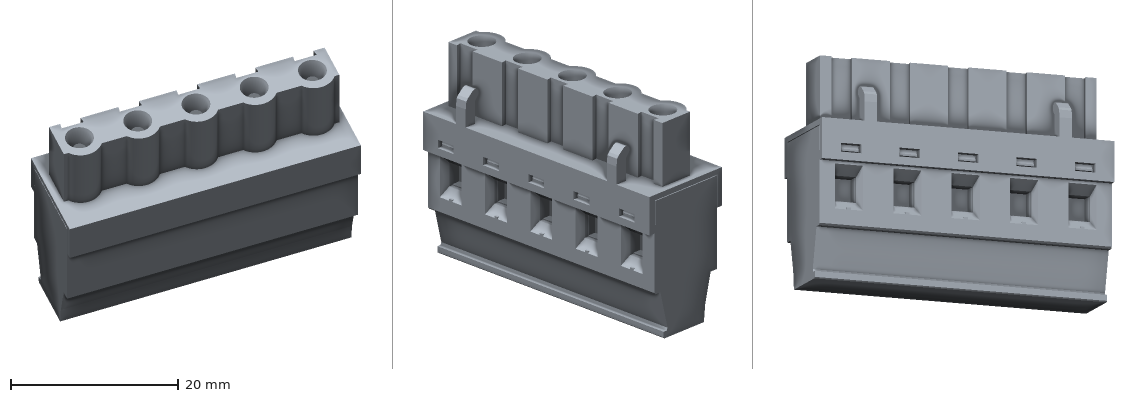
import cadquery as cq

WIDTH = 12.55
LENGTH = 37.5
HEIGHT = 27.55

CONTACT_COUNT = 5
CONTACT_PITCH = LENGTH / CONTACT_COUNT
CONTACT_X = 6.25
CONTACT_YS = [(i - (CONTACT_COUNT - 1) / 2) * CONTACT_PITCH for i in range(CONTACT_COUNT)]

COVER_TOP = 19.25
COVER_BOTTOM = 14.2
COVER_WALL = 0.85

BODY_FRONT = COVER_WALL
BODY_BACK = WIDTH - COVER_WALL
SHOULDER_Z = 6.22
SHOULDER_CHAMFER = 0.22
NECK_FRONT_TOP = 1.9
NECK_BACK_TOP = 10.6
NECK_FRONT_BOTTOM = (3.15, 1.25)
NECK_BACK_KINK = (9.68, 2.25)
FOOT_BACK = 9.45
FOOT_FRONT = 2.48
FOOT_HEIGHT = 0.9
FOOT_CHAMFER = 0.15
FOOT_SLOPE_X = 3.0

GROOVE_WIDTH = 0.1
GROOVE_DEPTH = 0.15
GROOVE_TOP = 18.52
GROOVE_BOTTOM = 15.38
GROOVE_X = 0.95
BACK_GROOVE_WIDTH = 0.08

PLUG_FRONT = 3.3
PLUG_BACK = 8.1
PLUG_LENGTH = 35.48
BUMP_TIP_X = 9.2
BUMP_WIDTH = 4.28
KEYWAY_DEPTH = 0.75
KEYWAY_MOUTH = 2.62
KEYWAY_FLOOR = 2.85

HOLE_MOUTH_DIAMETER = 3.45
HOLE_FLOOR_DIAMETER = 1.58
HOLE_DEPTH = 1.88

LATCH_Y = LENGTH / 3
LATCH_WIDTH = 1.6
LATCH_THICKNESS = 1.65
LATCH_STEM_TOP = 21.6
LATCH_LOWER_BEND = (0.1, 22.58)
LATCH_UPPER_BEND = (0.38, 22.9)
LATCH_NOSE_START = (1.2, 23.62)
LATCH_NOSE_CREST = (2.0, 23.62)
LATCH_NOSE_END = (2.15, 22.8)
LATCH_INNER_BEND_Z = 22.25

WINDOW_WIDTH = 2.62
WINDOW_BOTTOM = 15.2
WINDOW_TOP = 16.28
CATCH_WIDTH = 2.18
CATCH_BOTTOM = 15.4
CATCH_EDGE_Z = 15.68
CATCH_EDGE_X = 0.45

ENTRY_MOUTH_WIDTH = 3.6
ENTRY_MOUTH_BOTTOM = 8.35
ENTRY_MOUTH_TOP = 13.88
ENTRY_THROAT_WIDTH = 2.78
ENTRY_THROAT_BOTTOM = 9.52
ENTRY_THROAT_TOP = 12.68
ENTRY_FUNNEL_DEPTH = 1.2
ENTRY_DEPTH = 2.9
ENTRY_STEP_DEPTH = 1.72
ENTRY_STEP_HEIGHT = 0.15
ENTRY_SIDE_STEP = 0.05
NUB_WIDTH = 0.52
NUB_HEIGHT = 0.25


def block(x0, x1, length, z0, z1, y=0.0):
    """Box from x0 to x1 and z0 to z1, centred on y."""
    return cq.Workplane("XY").box(x1 - x0, length, z1 - z0, centered=(False, True, False)).translate((x0, y, z0))


def prism(sketch, length, y=0.0):
    """Extrude an XZ outline along Y, centred on y."""
    return sketch.close().extrude(length / 2, both=True).translate((0, y, 0))


def make_housing():
    outline = (
        cq.Workplane("XZ")
        .moveTo(FOOT_FRONT + FOOT_CHAMFER, 0)
        .lineTo(FOOT_BACK, 0)
        .lineTo(*NECK_BACK_KINK)
        .lineTo(NECK_BACK_TOP, SHOULDER_Z)
        .lineTo(BODY_BACK, SHOULDER_Z)
        .lineTo(BODY_BACK, COVER_BOTTOM)
        .lineTo(WIDTH, COVER_BOTTOM)
        .lineTo(WIDTH, COVER_TOP)
        .lineTo(0, COVER_TOP)
        .lineTo(0, COVER_BOTTOM)
        .lineTo(BODY_FRONT, COVER_BOTTOM)
        .lineTo(BODY_FRONT, SHOULDER_Z + SHOULDER_CHAMFER)
        .lineTo(BODY_FRONT + SHOULDER_CHAMFER, SHOULDER_Z)
        .lineTo(NECK_FRONT_TOP, SHOULDER_Z)
        .lineTo(*NECK_FRONT_BOTTOM)
        .lineTo(FOOT_SLOPE_X, FOOT_HEIGHT)
        .lineTo(FOOT_FRONT, FOOT_HEIGHT)
        .lineTo(FOOT_FRONT, FOOT_CHAMFER)
    )
    return prism(outline, LENGTH)


def make_parting_grooves():
    grooves = cq.Workplane("XY")
    back_x = BODY_BACK + BACK_GROOVE_WIDTH
    for end in (-1, 1):
        y = end * (LENGTH - GROOVE_DEPTH) / 2
        across = block(GROOVE_X, back_x, GROOVE_DEPTH, GROOVE_TOP - GROOVE_WIDTH, GROOVE_TOP, y)
        front = block(GROOVE_X, GROOVE_X + GROOVE_WIDTH, GROOVE_DEPTH, GROOVE_BOTTOM, GROOVE_TOP, y)
        back = block(BODY_BACK, back_x, GROOVE_DEPTH, COVER_BOTTOM, GROOVE_TOP, y)
        grooves = grooves.add(across).add(front).add(back)
    return grooves.combine()


def make_plug():
    plug = block(PLUG_FRONT, PLUG_BACK, PLUG_LENGTH, COVER_TOP, HEIGHT)
    base = cq.Workplane("XY").workplane(offset=COVER_TOP)
    for y in CONTACT_YS:
        bump = (
            base.moveTo(PLUG_BACK, y - BUMP_WIDTH / 2)
            .threePointArc((BUMP_TIP_X, y), (PLUG_BACK, y + BUMP_WIDTH / 2))
            .close()
            .extrude(HEIGHT - COVER_TOP)
        )
        keyway = (
            base.moveTo(PLUG_FRONT, y - KEYWAY_MOUTH / 2)
            .lineTo(PLUG_FRONT + KEYWAY_DEPTH, y - KEYWAY_FLOOR / 2)
            .lineTo(PLUG_FRONT + KEYWAY_DEPTH, y + KEYWAY_FLOOR / 2)
            .lineTo(PLUG_FRONT, y + KEYWAY_MOUTH / 2)
            .close()
            .extrude(HEIGHT - COVER_TOP)
        )
        plug = plug.union(bump).cut(keyway)
    return plug


def make_contact_hole(y):
    return (
        cq.Workplane("XY", origin=(CONTACT_X, y, HEIGHT))
        .circle(HOLE_MOUTH_DIAMETER / 2)
        .workplane(offset=-HOLE_DEPTH)
        .circle(HOLE_FLOOR_DIAMETER / 2)
        .loft(ruled=True)
    )


def make_latch(y):
    outline = (
        cq.Workplane("XZ")
        .moveTo(0, COVER_TOP)
        .lineTo(0, LATCH_STEM_TOP)
        .lineTo(*LATCH_LOWER_BEND)
        .lineTo(*LATCH_UPPER_BEND)
        .lineTo(*LATCH_NOSE_START)
        .threePointArc(LATCH_NOSE_CREST, LATCH_NOSE_END)
        .lineTo(LATCH_THICKNESS, LATCH_INNER_BEND_Z)
        .lineTo(LATCH_THICKNESS, COVER_TOP)
    )
    return prism(outline, LATCH_WIDTH, y)


def make_window(y):
    """Opening in the cover wall, around a sloped catch on the housing."""
    opening = block(0, COVER_WALL, WINDOW_WIDTH, WINDOW_BOTTOM, WINDOW_TOP, y)
    catch = prism(
        cq.Workplane("XZ")
        .moveTo(COVER_WALL, CATCH_BOTTOM)
        .lineTo(CATCH_EDGE_X, CATCH_BOTTOM)
        .lineTo(CATCH_EDGE_X, CATCH_EDGE_Z)
        .lineTo(COVER_WALL, WINDOW_TOP),
        CATCH_WIDTH,
        y,
    )
    return opening.cut(catch)


def make_wire_entry(y):
    """Funnel and stepped throat, less the small nub on the lower lip."""
    mouth_z = (ENTRY_MOUTH_BOTTOM + ENTRY_MOUTH_TOP) / 2
    throat_z = (ENTRY_THROAT_BOTTOM + ENTRY_THROAT_TOP) / 2
    throat_height = ENTRY_THROAT_TOP - ENTRY_THROAT_BOTTOM
    funnel = (
        cq.Workplane("YZ", origin=(BODY_FRONT, y, 0))
        .center(0, mouth_z)
        .rect(ENTRY_MOUTH_WIDTH, ENTRY_MOUTH_TOP - ENTRY_MOUTH_BOTTOM)
        .workplane(offset=ENTRY_FUNNEL_DEPTH)
        .center(0, throat_z - mouth_z)
        .rect(ENTRY_THROAT_WIDTH, throat_height)
        .loft(ruled=True)
    )
    funnel_end = BODY_FRONT + ENTRY_FUNNEL_DEPTH
    step_x = BODY_FRONT + ENTRY_STEP_DEPTH
    entry_end = BODY_FRONT + ENTRY_DEPTH
    step_z = ENTRY_THROAT_BOTTOM + ENTRY_STEP_HEIGHT
    ledge = block(funnel_end, step_x, ENTRY_THROAT_WIDTH, ENTRY_THROAT_BOTTOM, ENTRY_THROAT_TOP, y)
    inner_width = ENTRY_THROAT_WIDTH - 2 * ENTRY_SIDE_STEP
    throat = block(step_x, entry_end, inner_width, step_z, ENTRY_THROAT_TOP, y)
    nub = block(BODY_FRONT, funnel_end, NUB_WIDTH, ENTRY_MOUTH_BOTTOM, ENTRY_MOUTH_BOTTOM + NUB_HEIGHT, y)
    return funnel.union(ledge).union(throat).cut(nub)


result = make_housing().cut(make_parting_grooves()).union(make_plug())
for latch_y in (-LATCH_Y, LATCH_Y):
    result = result.union(make_latch(latch_y))
for contact_y in CONTACT_YS:
    result = result.cut(make_contact_hole(contact_y))
    result = result.cut(make_window(contact_y))
    result = result.cut(make_wire_entry(contact_y))